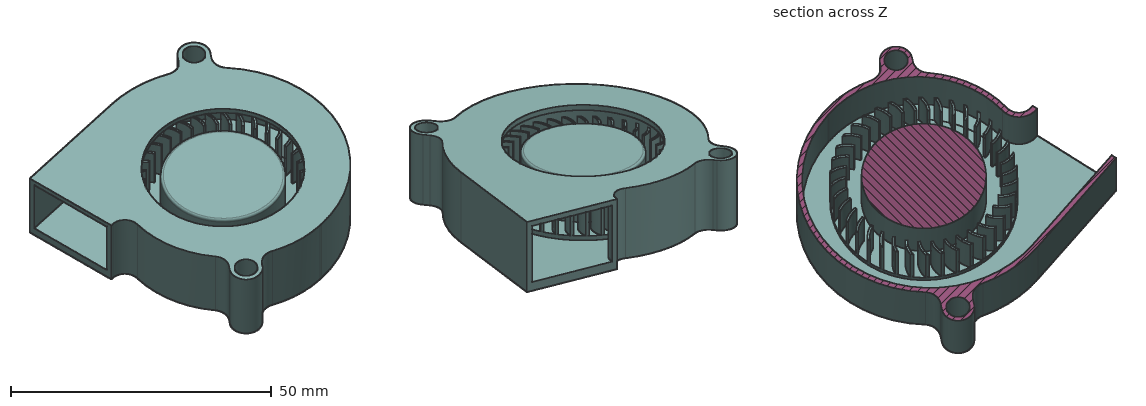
import cadquery as cq
import math

WIDTH = 51.3
HEIGHT = 15.0
WALL = 1.15
FLOOR = 1.9
ROOF = 1.15

UPPER_RADIUS = WIDTH / 2
LOWER_RADIUS = 22.25
AXIS_Y = 25.35
UPPER_X = UPPER_RADIUS
LOWER_X = WIDTH - LOWER_RADIUS
LOWER_Y = 24.95

OUTLET_WIDTH = 20.0
THROAT_RADIUS = 3.0

EARS = [
    ((4.1, 45.4), (UPPER_X, AXIS_Y)),
    ((47.2, 7.35), (LOWER_X, LOWER_Y)),
]
EAR_RADIUS = 3.2
EAR_HOLE_DIAMETER = 4.4
EAR_FILLET = 3.1
EAR_REACH = 7.7

ROTOR_X = 27.2
INLET_DIAMETER = 31.3
ROTOR_DIAMETER = 36.0
DISC_BOTTOM = 2.45
DISC_TOP = 3.45
HUB_DIAMETER = 24.0
HUB_TOP = 13.0
HUB_FILLET = 0.5

BLADE_COUNT = 38
BLADE_TOP = 11.45
BLADE_INNER_RADIUS = 15.0
BLADE_OUTER_RADIUS = ROTOR_DIAMETER / 2
BLADE_THICKNESS = 0.45
BLADE_CURVE_RADIUS = 5.15
BLADE_LEAN = 5.6


def polar_point(x, y, radius, angle):
    """Point at a radius and an angle in radians from a center."""
    return (x + radius * math.cos(angle), y + radius * math.sin(angle))


def volute(inset, bottom, height):
    """Volute with its outlet duct, with side walls moved inward by the inset."""
    upper = UPPER_RADIUS - inset
    lower = LOWER_RADIUS - inset
    throat = THROAT_RADIUS + inset
    throat_x = OUTLET_WIDTH + THROAT_RADIUS

    center_distance = LOWER_RADIUS + THROAT_RADIUS
    throat_y = LOWER_Y - math.sqrt(center_distance**2 - (LOWER_X - throat_x) ** 2)
    meet_angle = math.atan2(throat_y - LOWER_Y, throat_x - LOWER_X)
    throat_mid_angle = math.pi + meet_angle / 2
    lower_mid_angle = meet_angle / 2

    return (
        cq.Workplane("XY", origin=(0, 0, bottom))
        .moveTo(inset, 0)
        .lineTo(OUTLET_WIDTH - inset, 0)
        .lineTo(OUTLET_WIDTH - inset, throat_y)
        .threePointArc(
            polar_point(throat_x, throat_y, throat, throat_mid_angle),
            polar_point(LOWER_X, LOWER_Y, lower, meet_angle),
        )
        .threePointArc(
            polar_point(LOWER_X, LOWER_Y, lower, lower_mid_angle),
            (WIDTH - inset, LOWER_Y),
        )
        .lineTo(WIDTH - inset, AXIS_Y)
        .threePointArc((UPPER_X, AXIS_Y + upper), (inset, AXIS_Y))
        .close()
        .extrude(height)
    )


def add_ears(body):
    """Round-ended ears that blend into the volute."""
    for (x, y), (arc_x, arc_y) in EARS:
        direction = math.degrees(math.atan2(arc_y - y, arc_x - x))
        boss = cq.Workplane("XY").circle(EAR_RADIUS).extrude(HEIGHT)
        neck = cq.Workplane("XY").rect(EAR_REACH, 2 * EAR_RADIUS).extrude(HEIGHT)
        ear = boss.union(neck.translate((EAR_REACH / 2, 0, 0)))
        ear = ear.rotate((0, 0, 0), (0, 0, 1), direction).translate((x, y, 0))
        body = body.union(ear)
        near_ear = cq.selectors.BoxSelector(
            (x - EAR_REACH, y - EAR_REACH, 0),
            (x + EAR_REACH, y + EAR_REACH, HEIGHT),
        )
        corners = [
            edge
            for edge in body.edges("|Z").edges(near_ear).vals()
            if math.hypot(edge.Center().x - x, edge.Center().y - y) > EAR_RADIUS + 0.5
        ]
        body = body.newObject(corners).fillet(EAR_FILLET)
    return body


def make_housing():
    body = add_ears(volute(0, 0, HEIGHT))
    body = body.cut(volute(WALL, FLOOR, HEIGHT - FLOOR - ROOF))
    inlet = (
        cq.Workplane("XY", origin=(ROTOR_X, AXIS_Y, FLOOR))
        .circle(INLET_DIAMETER / 2)
        .extrude(HEIGHT - FLOOR)
    )
    ear_holes = (
        cq.Workplane("XY")
        .pushPoints([hole for hole, _ in EARS])
        .circle(EAR_HOLE_DIAMETER / 2)
        .extrude(HEIGHT)
    )
    return body.cut(inlet).cut(ear_holes)


def make_blade():
    """Curved blade on the rotor disc, its inner end on the X axis."""
    lean = math.radians(BLADE_LEAN)
    inner_x, inner_y = BLADE_INNER_RADIUS, 0
    outer_x, outer_y = polar_point(0, 0, BLADE_OUTER_RADIUS, lean)

    half_chord = math.hypot(outer_x - inner_x, outer_y - inner_y) / 2
    chord_angle = math.atan2(outer_y - inner_y, outer_x - inner_x)
    half_sweep = math.asin(half_chord / BLADE_CURVE_RADIUS)
    mid_angle = chord_angle - math.pi / 2
    start_angle = mid_angle - half_sweep
    overshoot = BLADE_THICKNESS / BLADE_CURVE_RADIUS
    end_angle = mid_angle + half_sweep + overshoot
    center = polar_point(inner_x, inner_y, BLADE_CURVE_RADIUS, start_angle + math.pi)

    concave = BLADE_CURVE_RADIUS - BLADE_THICKNESS / 2
    convex = BLADE_CURVE_RADIUS + BLADE_THICKNESS / 2
    height = BLADE_TOP - DISC_TOP
    blade = (
        cq.Workplane("XY", origin=(0, 0, DISC_TOP))
        .moveTo(*polar_point(*center, convex, start_angle))
        .threePointArc(
            polar_point(*center, convex, mid_angle),
            polar_point(*center, convex, end_angle),
        )
        .lineTo(*polar_point(*center, concave, end_angle))
        .threePointArc(
            polar_point(*center, concave, mid_angle),
            polar_point(*center, concave, start_angle),
        )
        .close()
        .extrude(height)
    )
    envelope = cq.Workplane("XY", origin=(0, 0, DISC_TOP)).circle(BLADE_OUTER_RADIUS).extrude(height)
    return blade.intersect(envelope)


def make_rotor():
    disc = (
        cq.Workplane("XY", origin=(0, 0, DISC_BOTTOM))
        .circle(ROTOR_DIAMETER / 2)
        .extrude(DISC_TOP - DISC_BOTTOM)
    )
    hub = (
        cq.Workplane("XY", origin=(0, 0, DISC_BOTTOM))
        .circle(HUB_DIAMETER / 2)
        .extrude(HUB_TOP - DISC_BOTTOM)
        .faces(">Z")
        .edges()
        .fillet(HUB_FILLET)
    )
    blade = make_blade().val()
    blades = [
        blade.rotate((0, 0, 0), (0, 0, 1), index * 360 / BLADE_COUNT)
        for index in range(BLADE_COUNT)
    ]
    rotor = disc.union(hub).val().fuse(*blades)
    return cq.Workplane(rotor).translate((ROTOR_X, AXIS_Y, 0))


housing = make_housing()
rotor = make_rotor()
result = cq.Compound.makeCompound([housing.val(), *rotor.solids().vals()])